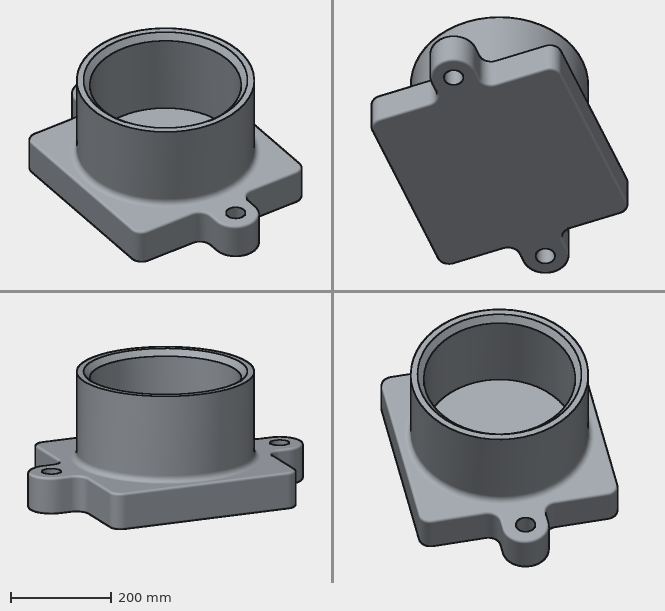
import cadquery as cq

total_length = 594.0
plate_side = 406.0
plate_thickness = 76.0
corner_radius = 24.5
edge_round = 5.5
ear_radius = 47.0
ear_hole_diameter = 38.5
ear_center_x = total_length / 2 - ear_radius

total_height = 254.0
cup_radius = 177.5
bore_radius = 151.5
bore_depth = total_height - plate_thickness
rim_chamfer = 12.5
cup_root_fillet = 12.5


def make_base():
    """Square plate blended into its ears, with rounded top and bottom edges."""
    plate = cq.Workplane("XY").box(
        plate_side, plate_side, plate_thickness, centered=(True, True, False)
    )
    ears = cq.Workplane("XY").slot2D(total_length, 2 * ear_radius).extrude(plate_thickness)
    base = plate.union(ears)
    for side in (-1, 1):
        for y in (-plate_side / 2, -ear_radius, ear_radius, plate_side / 2):
            corner = (side * plate_side / 2, y, plate_thickness / 2)
            base = base.edges(cq.selectors.NearestToPointSelector(corner)).fillet(corner_radius)
    return base.faces("<Z or >Z").edges().fillet(edge_round)


def add_cup(base):
    """Solid cylinder on the plate, with a fillet around its foot."""
    cylinder = cq.Workplane("XY").circle(cup_radius).extrude(total_height)
    body = base.union(cylinder)
    foot_edge = cq.selectors.NearestToPointSelector((0, 0, plate_thickness))
    return body.edges(foot_edge).fillet(cup_root_fillet)


def cut_bore(body):
    """Blind bore down to the plate top, with a chamfered mouth."""
    bore = (
        cq.Workplane("XY", origin=(0, 0, total_height))
        .circle(bore_radius)
        .extrude(-bore_depth)
    )
    mouth = cq.Workplane("XY").add(
        cq.Solid.makeCone(
            bore_radius,
            bore_radius + rim_chamfer,
            rim_chamfer,
            pnt=cq.Vector(0, 0, total_height - rim_chamfer),
        )
    )
    return body.cut(bore).cut(mouth)


def cut_ear_holes(body):
    """Through hole at the center of each ear's rounded end."""
    holes = (
        cq.Workplane("XY")
        .pushPoints([(-ear_center_x, 0), (ear_center_x, 0)])
        .circle(ear_hole_diameter / 2)
        .extrude(plate_thickness)
    )
    return body.cut(holes)


result = cut_ear_holes(cut_bore(add_cup(make_base())))